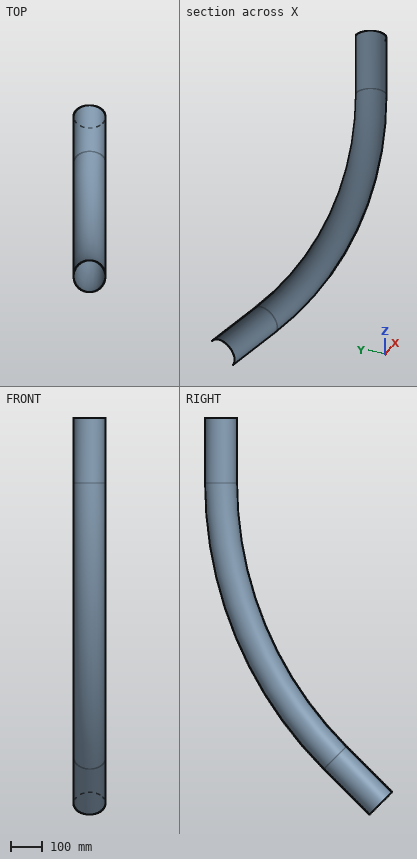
import cadquery as cq
import math

outer_diameter = 101.6
inner_diameter = 98.4
bend_angle = 45.0
bend_radius = 12 * outer_diameter
leg_length = 2 * outer_diameter


def point_on_bend(angle_degrees):
    """Centreline point (Y, Z) at an angle past the start of the bend, which is the origin."""
    angle = math.radians(angle_degrees)
    return (bend_radius * (1 - math.cos(angle)), -bend_radius * math.sin(angle))


def centreline():
    """Path down the vertical leg, around the bend towards +Y, and along the slanted leg."""
    bend_end = point_on_bend(bend_angle)
    slant = math.radians(bend_angle)
    leg_end = (
        bend_end[0] + leg_length * math.sin(slant),
        bend_end[1] - leg_length * math.cos(slant),
    )
    return (
        cq.Workplane("YZ")
        .moveTo(0, leg_length)
        .lineTo(0, 0)
        .threePointArc(point_on_bend(bend_angle / 2), bend_end)
        .lineTo(*leg_end)
    )


def tube():
    """Ring section at the top of the vertical leg, swept along the centreline."""
    ring = (
        cq.Workplane("XY", origin=(0, 0, leg_length))
        .circle(outer_diameter / 2)
        .circle(inner_diameter / 2)
    )
    return ring.sweep(centreline())


result = tube()